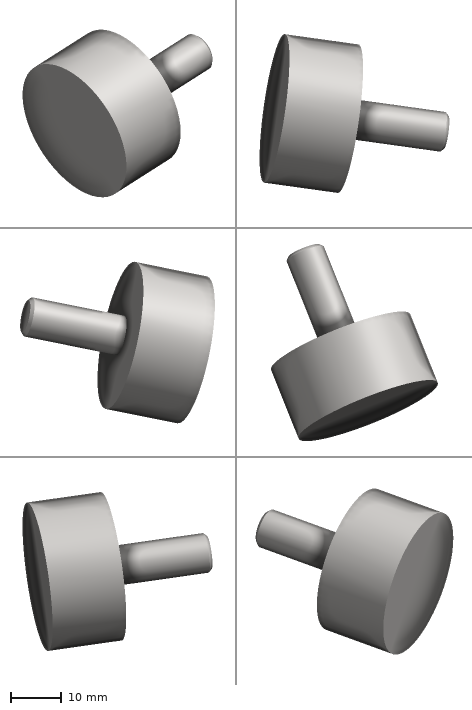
import cadquery as cq

total_length = 35.0
buffer_diameter = 30.0
buffer_length = 15.0
stud_diameter = 8.0
stud_chamfer = 0.65

stud_length = total_length - buffer_length


def cylinder_along_y(diameter, length, start_y):
    """Cylinder on the Y axis, growing toward +Y from start_y."""
    base_plane = cq.Workplane("XZ", origin=(0, start_y, 0))
    return base_plane.circle(diameter / 2).extrude(-length)


buffer = cylinder_along_y(buffer_diameter, buffer_length, 0)


stud = cylinder_along_y(stud_diameter, stud_length, buffer_length)
stud = stud.faces(">Y").chamfer(stud_chamfer)


result = cq.Compound.makeCompound([buffer.val(), stud.val()])